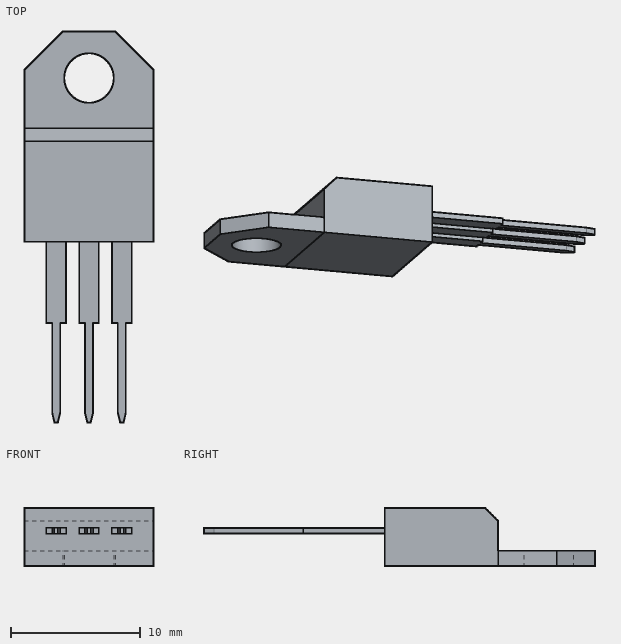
import cadquery as cq

overall_length = 30.2
width = 10.0
housing_height = 4.5

tab_length = 7.5
tab_thickness = 1.2
tab_corner_cut = 2.95
hole_diameter = 3.8
hole_to_tab_end = 3.6

housing_length = 8.75
housing_chamfer = 1.0

lead_count = 3
lead_pitch = 2.55
lead_thickness = 0.45
lead_bottom = 2.5
root_width = 1.55
root_length = 6.28
shank_width = 0.63
tip_width = 0.27
tip_length = 0.75

housing_back = housing_length
tab_end = housing_back + tab_length
lead_end = tab_end - overall_length


def make_housing():
    """Block with a chamfer on the top edge facing the tab."""
    return (
        cq.Workplane("XY")
        .box(width, housing_length, housing_height, centered=(True, False, False))
        .edges(">Y and >Z")
        .chamfer(housing_chamfer)
    )


def make_tab():
    """Plate with two cut corners and a through mounting hole."""
    plate = (
        cq.Workplane("XY")
        .box(width, tab_length, tab_thickness, centered=(True, False, False))
        .edges("|Z and >Y")
        .chamfer(tab_corner_cut)
        .translate((0, housing_back, 0))
    )
    hole = (
        cq.Workplane("XY")
        .center(0, tab_end - hole_to_tab_end)
        .circle(hole_diameter / 2)
        .extrude(tab_thickness)
    )
    return plate.cut(hole)


def make_lead(center_x):
    """Flat stepped lead that butts against the housing front face."""
    right_side = [
        (root_width / 2, 0),
        (root_width / 2, -root_length),
        (shank_width / 2, -root_length),
        (shank_width / 2, lead_end + tip_length),
        (tip_width / 2, lead_end),
    ]
    left_side = [(-x, y) for x, y in reversed(right_side)]
    return (
        cq.Workplane("XY")
        .polyline(right_side + left_side)
        .close()
        .extrude(lead_thickness)
        .translate((center_x, 0, lead_bottom))
    )


housing = make_housing()
tab = make_tab()
leads = [
    make_lead((index - (lead_count - 1) / 2) * lead_pitch)
    for index in range(lead_count)
]

result = cq.Compound.makeCompound([housing.val(), tab.val(), *[lead.val() for lead in leads]])